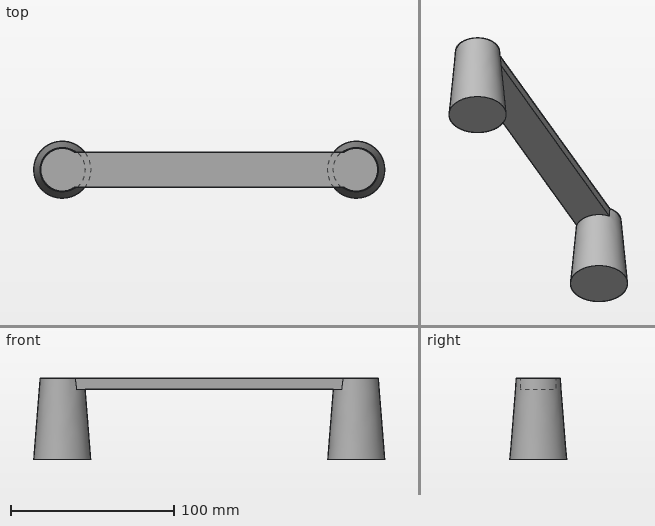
import cadquery as cq

length = 215.0
height = 50.0

base_diameter = 35.0
top_diameter = 27.0
post_spacing = length - base_diameter

bar_width = 22.0
bar_thickness = 7.0

top_bevel = 0.5


def post(x):
    """Tapered round post with a bevelled top, standing at the given X."""
    return (
        cq.Workplane("XY")
        .center(x, 0)
        .circle(base_diameter / 2)
        .workplane(offset=height)
        .circle(top_diameter / 2)
        .loft(ruled=True)
        .faces(">Z")
        .chamfer(top_bevel)
    )


def bar():
    """Flat bar between the post axes, with its long top edges bevelled."""
    return (
        cq.Workplane("XY")
        .workplane(offset=height - bar_thickness)
        .rect(post_spacing, bar_width)
        .extrude(bar_thickness)
        .faces(">Z")
        .edges("|X")
        .chamfer(top_bevel)
    )


result = bar()
for side in (-1, 1):
    result = result.union(post(side * post_spacing / 2))